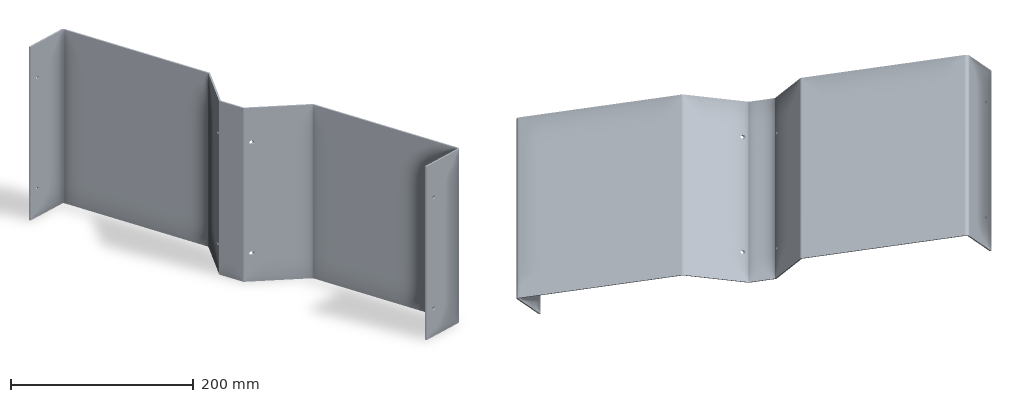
import cadquery as cq
import math

length = 544.0
depth = 62.0
height = 208.0

thickness = 2.0
inner_radius = 2.0
outer_radius = inner_radius + thickness

valley_width = 33.0
wall_run = 55.0
valley_setback = 6.5

hole_diameter = 4.2
hole_setback = 13.0
hole_heights = (34.0, 166.5)

half_length = length / 2
front_of_web = depth - thickness
valley_rise = front_of_web - valley_setback
valley_edge = valley_width / 2
shoulder = valley_edge + wall_run
fold_angle = math.atan2(valley_rise, wall_run)

corner_shift = thickness * math.tan(fold_angle / 2)


def half_profile():
    """Right half of the folded sheet, seen along Z."""
    return (
        cq.Workplane("XY")
        .moveTo(0, valley_setback)
        .lineTo(valley_edge, valley_setback)
        .lineTo(shoulder, front_of_web)
        .lineTo(half_length - thickness, front_of_web)
        .lineTo(half_length - thickness, 0)
        .lineTo(half_length, 0)
        .lineTo(half_length, depth)
        .lineTo(shoulder - corner_shift, depth)
        .lineTo(valley_edge - corner_shift, valley_setback + thickness)
        .lineTo(0, valley_setback + thickness)
        .close()
    )


def bend_edges(x, y):
    """Selector for the vertical edge of a fold at (x, y)."""
    reach = thickness / 4
    return cq.selectors.BoxSelector(
        (x - reach, y - reach, 0),
        (x + reach, y + reach, height),
    )


def round_fold(body, inner_point, outer_point):
    """Give a fold concentric inner and outer radii."""
    body = body.edges(bend_edges(*inner_point)).fillet(inner_radius)
    return body.edges(bend_edges(*outer_point)).fillet(outer_radius)


half = half_profile().extrude(height)
half = round_fold(half, (half_length - thickness, front_of_web), (half_length, depth))
half = round_fold(half, (shoulder, front_of_web), (shoulder - corner_shift, depth))

sheet = half.union(half.mirror("YZ")).clean()

for hole_height in hole_heights:
    drill = (
        cq.Workplane("YZ")
        .center(hole_setback, hole_height)
        .circle(hole_diameter / 2)
        .extrude(half_length, both=True)
    )
    sheet = sheet.cut(drill)

result = sheet